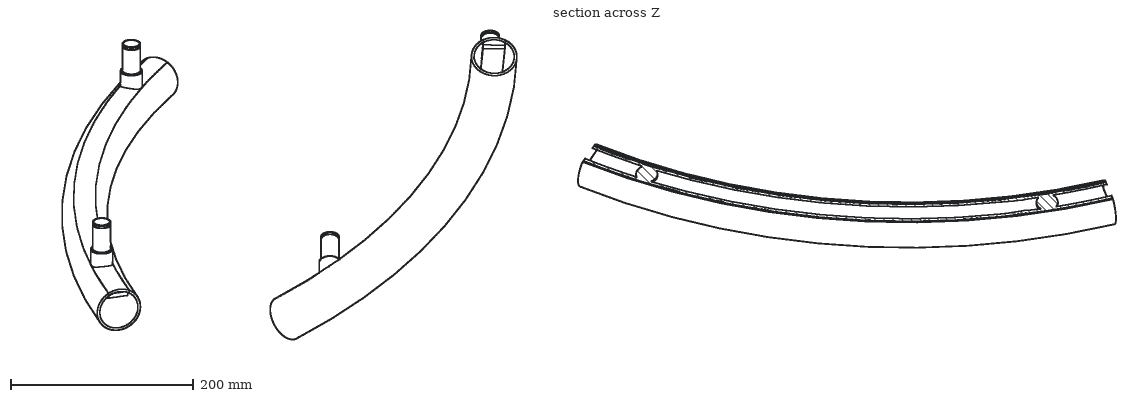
import cadquery as cq
import math

bend_radius = 750.0
bend_angle = 45.0
tube_radius = 25.0
wall = 3.0
bore_radius = tube_radius - wall

slot_width = 24.0
slot_corner_z = math.sqrt(bore_radius**2 - (slot_width / 2) ** 2)

bar_thickness = 5.0
bar_clearance = 0.05
bar_top_z = slot_corner_z - bar_clearance
bar_setback = 5.0

post_end_distance = 70.5
post_height = 49.35
collar_radius = 12.0
collar_height = 16.5
collar_chamfer = 1.0
stem_radius = 10.0
tip_radius = stem_radius
tip_chamfer = 0.9
neck_radius = 9.2
neck_length = 2.7

bend_center = (0, bend_radius, 0)
bend_center_above = (0, bend_radius, 1)


def bend(section, angle):
    """Sweep a YZ section clockwise around the bend centre."""
    return section.revolve(angle, (bend_radius, 0, 0), (bend_radius, -1, 0))


def place_on_bend(body, angle):
    """Move a body from the start of the bend to the given angle along it."""
    return body.rotate(bend_center, bend_center_above, -angle)


def bent_strip(width, bottom_z, top_z, angle):
    """Rectangular strip centred across the rail and following the bend."""
    middle_z = (bottom_z + top_z) / 2
    section = cq.Workplane("YZ").center(0, middle_z).rect(width, top_z - bottom_z)
    return bend(section, angle)


def tube_wall():
    return bend(cq.Workplane("YZ").circle(tube_radius).circle(bore_radius), bend_angle)


def slot_space():
    """Space of the slot, from the middle of the tube to its crest."""
    return bent_strip(slot_width, 0, tube_radius, bend_angle)


def make_tube():
    return tube_wall().cut(slot_space())


def make_bar():
    setback_angle = math.degrees(bar_setback / bend_radius)
    bar = bent_strip(slot_width, bar_top_z - bar_thickness, bar_top_z, bend_angle - 2 * setback_angle)
    return place_on_bend(bar, setback_angle)


def make_post():
    """Post on the rail's centre line, from the middle of the bar up to its tip."""
    collar_top = tube_radius + collar_height
    tip_top = tube_radius + post_height
    tip_bottom = tip_top - tip_chamfer
    neck_bottom = tip_bottom - neck_length
    foot_z = bar_top_z - bar_thickness / 2
    profile = (
        cq.Workplane("YZ")
        .moveTo(0, foot_z)
        .lineTo(-collar_radius, foot_z)
        .lineTo(-collar_radius, collar_top - collar_chamfer)
        .lineTo(-collar_radius + collar_chamfer, collar_top)
        .lineTo(-stem_radius, collar_top)
        .lineTo(-stem_radius, neck_bottom)
        .lineTo(-neck_radius, neck_bottom)
        .lineTo(-neck_radius, tip_bottom)
        .lineTo(-tip_radius, tip_bottom)
        .lineTo(-tip_radius + tip_chamfer, tip_top)
        .lineTo(0, tip_top)
        .close()
    )
    return profile.revolve(360, (0, 0, 0), (0, 1, 0))


def make_insert():
    """Cap, bar and both posts as one solid."""
    insert = tube_wall().intersect(slot_space())
    post_angle = math.degrees(math.asin(post_end_distance / bend_radius))
    for angle in (post_angle, bend_angle - post_angle):
        insert = insert.union(place_on_bend(make_post(), angle))
    return insert.union(make_bar())


tube = make_tube()
insert = make_insert()

result = cq.Compound.makeCompound([tube.val(), insert.val()])